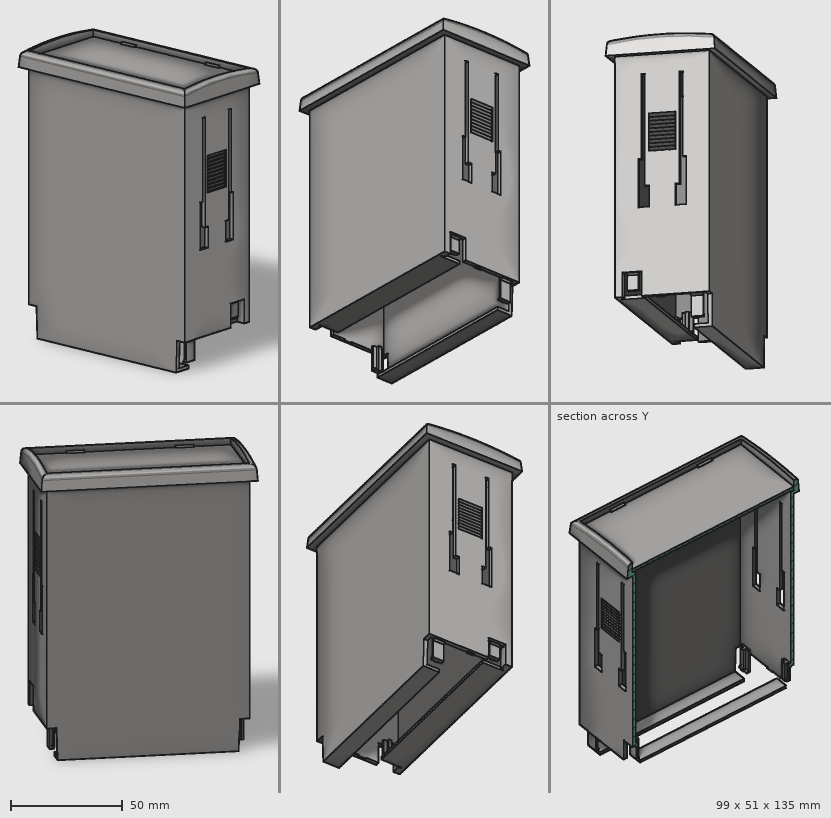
import cadquery as cq
import math

tube_length_x = 92.7
tube_width_y = 44.1
wall = 2.0
tube_bottom = 15.0
tube_half_x = tube_length_x / 2
tube_half_y = tube_width_y / 2
bore_length_x = tube_length_x - 2 * wall
bore_width_y = tube_width_y - 2 * wall
inner_half_x = bore_length_x / 2
inner_half_y = bore_width_y / 2

bezel_length_x = 99.0
bezel_width_y = 51.0
bezel_bottom = 126.1
bezel_top = 135
bezel_draft = 5
crown_radius = 168.8
end_rim_fillet = 1.9
side_rim_fillet = 2.4

panel_length_x = 92.3
panel_width_y = 43.7
panel_thickness = 2.0
panel_top = 130.5
shelf_level = panel_top - panel_thickness

tab_length = 8.2
tab_reach = 1.0
tab_offset_x = 25.0

lip_bottom_half_x = 41.3
lip_top_half_x = 41.8
foot_thickness = 1.6
front_foot_width = 8.5
back_foot_width = 12.7

slot_top = 117.3
slot_outer_step = 78.2
slot_inner_step = 65.7
slot_bottom = 55.9
slot_inner = 8.1
slot_inner_wide = 6.1
slot_outer = 9.7
slot_outer_wide = 11.2

grip_width = 12.5
grip_top = 99.0
grip_bottom = 81.7
tooth_count = 10
tooth_pitch = (grip_top - grip_bottom) / tooth_count
tooth_depth = 1.17

window_y_min = 9.6
window_y_max = 18.6
window_top = 26.3
window_cheek = 2.0

latch_plate = 1.1
latch_depth = 2.4
latch_hook = 2.0
latch_hook_height = 1.4
latch_slope_height = 1.1
latch_root_height = 2.0
latch_rib_width = 1.6
window_latch_y = (11.6, 16.7)
window_latch_bottom = 18.4
window_latch_setback = 0.51
lip_latch_y = (-18.6, -13.0)
lip_latch_bottom = 4.5
lip_latch_setback = 0.75

nub_y_min = -1.0
nub_y_max = 2.8
nub_height = 0.5
nub_thickness = 0.7


def block(x_range, y_range, z_range):
    """Box between the given limits, in either order."""
    limits = (x_range, y_range, z_range)
    sizes = [abs(b - a) for a, b in limits]
    corner = tuple(min(pair) for pair in limits)
    return cq.Workplane("XY").box(*sizes, centered=False).translate(corner)


def end_profile(points, y_range):
    """Extrude an XZ outline between two Y positions."""
    y_min, y_max = y_range
    outline = cq.Workplane("XZ", origin=(0, y_max, 0)).polyline(points).close()
    return outline.extrude(y_max - y_min)


def on_both_ends(shape):
    """The shape at the -X end together with its mirror image at the +X end."""
    return shape.union(shape.mirror("YZ"))


def make_bezel():
    """Drafted rectangle with a crowned top and rounded outer rim, without its opening.

    The long and short roundings are made apart and intersected, so they meet in mitred corners.
    """
    height = bezel_top - bezel_bottom
    frame = (
        cq.Workplane("XY", origin=(0, 0, bezel_bottom))
        .rect(bezel_length_x, bezel_width_y)
        .extrude(height, taper=bezel_draft)
    )
    crown = (
        cq.Workplane("YZ", origin=(-bezel_length_x / 2, 0, 0))
        .center(0, bezel_top - crown_radius)
        .circle(crown_radius)
        .extrude(bezel_length_x)
    )
    crowned = frame.intersect(crown)
    top_face = crowned.faces(">Z")
    rounded_sides = top_face.edges("|X").fillet(side_rim_fillet)
    rounded_ends = top_face.edges("not |X").fillet(end_rim_fillet)
    return rounded_sides.intersect(rounded_ends)


def make_panel():
    """Flat front panel."""
    return (
        cq.Workplane("XY", origin=(0, 0, shelf_level))
        .rect(panel_length_x, panel_width_y)
        .extrude(panel_thickness)
    )


def make_tube():
    """Bezel and tube with the panel opening and the through bore."""
    tube = (
        cq.Workplane("XY", origin=(0, 0, tube_bottom))
        .rect(tube_length_x, tube_width_y)
        .extrude(bezel_bottom - tube_bottom)
    )
    opening = (
        cq.Workplane("XY", origin=(0, 0, shelf_level))
        .rect(panel_length_x, panel_width_y)
        .extrude(bezel_top - shelf_level)
    )
    bore = (
        cq.Workplane("XY", origin=(0, 0, tube_bottom))
        .rect(bore_length_x, bore_width_y)
        .extrude(shelf_level - tube_bottom)
    )
    return tube.union(make_bezel()).cut(opening).cut(bore)


def make_snap_tab(x, side):
    """Quarter-round tab on the opening's wall, just above the panel; side is +1 or -1 along Y."""
    y_wall = side * panel_width_y / 2
    y_tip = y_wall - side * tab_reach
    diagonal = tab_reach * math.sqrt(0.5)
    middle = (y_wall - side * diagonal, panel_top + diagonal)
    return (
        cq.Workplane("YZ", origin=(x - tab_length / 2, 0, 0))
        .moveTo(y_wall, panel_top)
        .lineTo(y_tip, panel_top)
        .threePointArc(middle, (y_wall, panel_top + tab_reach))
        .close()
        .extrude(tab_length)
    )


def make_rear_lips():
    """Extension of the -Y wall with its foot, and the foot of the +Y wall."""
    front_foot_edge = -tube_half_y + front_foot_width
    tapered_outline = [
        (-lip_bottom_half_x, 0),
        (lip_bottom_half_x, 0),
        (lip_top_half_x, tube_bottom),
        (-lip_top_half_x, tube_bottom),
    ]
    lip = end_profile(tapered_outline, (-tube_half_y, front_foot_edge))
    above_foot = block(
        (-lip_top_half_x, lip_top_half_x),
        (-inner_half_y, front_foot_edge),
        (foot_thickness, tube_bottom),
    )
    back_foot = block(
        (-lip_top_half_x, lip_top_half_x),
        (tube_half_y - back_foot_width, tube_half_y),
        (tube_bottom, tube_bottom + foot_thickness),
    )
    return lip.cut(above_foot).union(back_foot)


def make_slot(side):
    """Stepped slot through both end walls; side is +1 or -1 along Y."""
    outline = [
        (slot_inner, slot_top),
        (slot_outer, slot_top),
        (slot_outer, slot_outer_step),
        (slot_outer_wide, slot_outer_step),
        (slot_outer_wide, slot_bottom),
        (slot_inner_wide, slot_bottom),
        (slot_inner_wide, slot_inner_step),
        (slot_inner, slot_inner_step),
    ]
    return (
        cq.Workplane("YZ", origin=(-tube_half_x, 0, 0))
        .polyline([(side * y, z) for y, z in outline])
        .close()
        .extrude(tube_length_x)
    )


def make_grip_notch(index):
    """One saw-tooth notch of the -X grip: it deepens downward to a level ledge."""
    top = grip_top - index * tooth_pitch
    ledge = top - tooth_pitch
    outline = [
        (-tube_half_x, top),
        (-tube_half_x + tooth_depth, ledge),
        (-tube_half_x, ledge),
    ]
    return end_profile(outline, (-grip_width / 2, grip_width / 2))


def make_latch(y_range, root, bottom, setback):
    """Latch at the -X end, hanging from height root down to bottom.

    Below the root its outer face slopes inward by the setback, to the plane of the bore wall.
    """
    outer = -inner_half_x
    outline = [
        (outer - setback, root),
        (outer, root - latch_slope_height),
        (outer, bottom),
        (outer + latch_hook, bottom),
        (outer + latch_plate, bottom + latch_hook_height),
        (outer + latch_plate, root + latch_root_height),
        (outer - setback, root + latch_root_height),
    ]
    y_middle = sum(y_range) / 2
    rib = block(
        (outer, outer + latch_depth),
        (y_middle - latch_rib_width / 2, y_middle + latch_rib_width / 2),
        (bottom, root + latch_root_height),
    )
    return end_profile(outline, y_range).union(rib)


def make_housing():
    """Tube, bezel, snap tabs, rear lips, spring arms and latches in one piece."""
    housing = make_tube().union(make_rear_lips())

    for x in (-tab_offset_x, tab_offset_x):
        for side in (-1, 1):
            housing = housing.union(make_snap_tab(x, side))

    for side in (-1, 1):
        housing = housing.cut(make_slot(side))

    for index in range(tooth_count):
        housing = housing.cut(on_both_ends(make_grip_notch(index)))

    end_wall = (-tube_half_x, -inner_half_x)
    window = block(end_wall, (window_y_min, window_y_max), (tube_bottom, window_top))
    housing = housing.cut(on_both_ends(window))

    cheek = block(
        (-inner_half_x, -inner_half_x + window_cheek),
        (window_y_max, inner_half_y),
        (tube_bottom, window_top),
    )
    window_latch = make_latch(window_latch_y, window_top, window_latch_bottom, window_latch_setback)
    lip_latch = make_latch(lip_latch_y, tube_bottom, lip_latch_bottom, lip_latch_setback)
    nub = block(
        (-inner_half_x - nub_thickness, -inner_half_x),
        (nub_y_min, nub_y_max),
        (tube_bottom - nub_height, tube_bottom),
    )
    for feature in (cheek, window_latch, lip_latch, nub):
        housing = housing.union(on_both_ends(feature))
    return housing.solids()


housing = make_housing()
panel = make_panel()

result = cq.Compound.makeCompound([housing.val(), panel.val()])